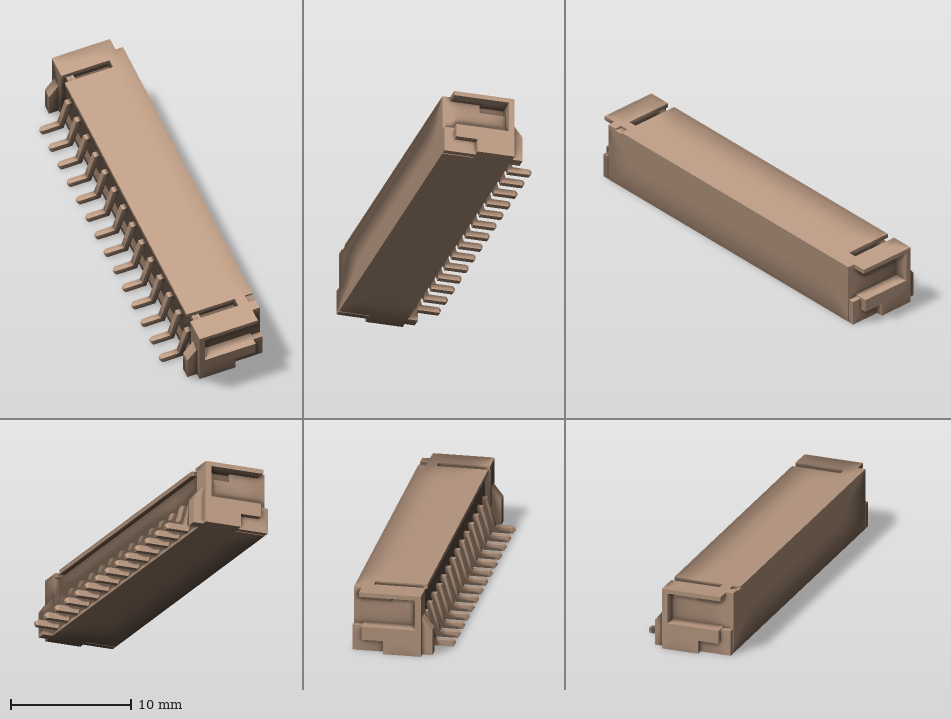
import cadquery as cq
length = 32.15
depth = 5.9
height = 5.37
lid_thickness = 0.4
lid_underside = height - lid_thickness
half_length = length / 2

end_wall_inset = 1.2
lid_corner_depth = 0.68
end_frame = 0.48

ledge_height = 2.3
ledge_back = 5.05
foot_back = 3.2
foot_height = 1.15

tab_inset = 0.58
tab_width = 0.9
tab_reach = 0.87
tab_top = 3.35
tab_shoulder = 2.22
plate_thickness = 0.5

recess_inset = 1.83
recess_depth = 0.45
sill_height = 0.48

slit_inset = 2.05
slit_width = 0.77
slit_back = 4.35
pocket_front = 1.05
pocket_inner_undercut = 0.3
pocket_floor = 4.28
window_back = 2.7
window_depth = 0.48

notch_depth = 0.15

pin_count = 14
pin_row_length = 26.0
pin_pitch = pin_row_length / (pin_count - 1)
pin_width = 0.5
pin_thickness = 0.5
pin_top = 3.0
pin_bend = 0.68
pin_heel = 0.32
pin_reach = 2.35
pin_tip = 0.2
pin_tip_chamfer = 0.13


def block(x, y, z):
    """Box spanning the given (low, high) pairs."""
    size = [high - low for low, high in (x, y, z)]
    return cq.Workplane("XY").box(*size, centered=False).translate((x[0], y[0], z[0]))


def inset_span(start, width):
    """X span at the -X end, starting at an inset from that end."""
    return (-half_length + start, -half_length + start + width)


def centered_span(inset):
    """X span left between equal insets at both ends."""
    return (-half_length + inset, half_length - inset)


def both_ends(shape):
    return shape.union(shape.mirror("YZ"))


def housing_block():
    core = block(centered_span(end_wall_inset), (0, depth), (0, height))
    lid_wings = block(centered_span(0), (0, depth - lid_corner_depth), (lid_underside, height))
    frame = block(centered_span(0), (0, end_frame), (0, height))
    ledge = block(centered_span(0), (0, ledge_back), (foot_height, ledge_height))
    foot = block(centered_span(0), (0, foot_back), (0, ledge_height))
    return core.union(lid_wings).union(frame).union(ledge).union(foot)


def front_recess():
    return block(centered_span(recess_inset), (0, recess_depth), (sill_height, lid_underside))


def end_cuts():
    slit = block(inset_span(slit_inset, slit_width), (0, slit_back), (lid_underside, height))
    pocket_width = slit_inset + slit_width + pocket_inner_undercut - recess_inset
    pocket = block(
        inset_span(recess_inset, pocket_width), (pocket_front, slit_back), (pocket_floor, lid_underside)
    )
    window = block(
        inset_span(end_wall_inset, window_depth),
        (end_frame, window_back),
        (pocket_floor, lid_underside),
    )
    return both_ends(slit.union(pocket).union(window))


def lid_notch():
    slit_start = half_length - slit_inset
    return block(
        (slit_start - slit_width, slit_start),
        (depth - lid_corner_depth, depth),
        (height - notch_depth, height),
    )


def hold_downs():
    front_tab = (
        cq.Workplane("YZ", origin=(-half_length + tab_inset, 0, 0))
        .polyline([(0, 0), (-tab_reach, 0), (-tab_reach, tab_shoulder), (0, tab_top)])
        .close()
        .extrude(tab_width)
    )
    back_plate = block(inset_span(tab_inset, plate_thickness), (foot_back, depth), (0, tab_shoulder))
    return both_ends(front_tab.union(back_plate))


def pin():
    outline = [
        (recess_depth, pin_top),
        (0, pin_top),
        (-pin_bend, pin_thickness),
        (-pin_reach, pin_thickness),
        (-pin_reach, 0),
        (-pin_heel, 0),
        (recess_depth, pin_top - pin_thickness / 2),
    ]
    leg = cq.Workplane("YZ").polyline(outline).close().extrude(pin_width / 2, both=True)
    return leg.faces("<Y").chamfer(pin_tip, pin_tip_chamfer)


result = housing_block().cut(front_recess()).cut(end_cuts()).cut(lid_notch()).union(hold_downs())

contact = pin()
for index in range(pin_count):
    x = index * pin_pitch - pin_row_length / 2
    result = result.union(contact.translate((x, 0, 0)))